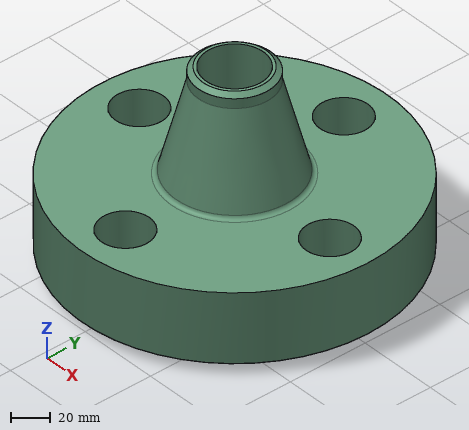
import cadquery as cq
import math


flange_diameter = 203.2
flange_thickness = 44.45

raised_face_diameter = 73.2
raised_face_height = 6.35

overall_height = 117.6
hub_base_diameter = 79.2
neck_diameter = 48.3
neck_length = 8.6
hub_fillet_radius = 3.0

bore_diameter = 38.1
land_width = 1.9
bevel_angle = 37.5

bolt_hole_diameter = 31.75
bolt_circle_diameter = 146.05
bolt_count = 4

flange_bottom = raised_face_height
flange_top = flange_bottom + flange_thickness
neck_start = overall_height - neck_length

land_radius = bore_diameter / 2 + land_width
bevel_height = (neck_diameter / 2 - land_radius) * math.tan(math.radians(bevel_angle))
bevel_start = overall_height - bevel_height


def hub_fillet_points():
    """Start, middle and end (radius, height) of the arc joining the disc to the hub cone."""
    cone_run = (hub_base_diameter - neck_diameter) / 2
    cone_tilt = math.atan2(cone_run, neck_start - flange_top)
    turn = math.pi / 2 - cone_tilt
    tangent_length = hub_fillet_radius * math.tan(turn / 2)

    center_radius = hub_base_diameter / 2 + tangent_length
    center_height = flange_top + hub_fillet_radius

    def arc_point(swept):
        return (
            center_radius - hub_fillet_radius * math.sin(swept),
            center_height - hub_fillet_radius * math.cos(swept),
        )

    return arc_point(0), arc_point(turn / 2), arc_point(turn)


def make_body():
    """Revolve the outer half profile, including the bore, around Z."""
    fillet_start, fillet_middle, fillet_end = hub_fillet_points()
    profile = (
        cq.Workplane("XZ")
        .moveTo(bore_diameter / 2, 0)
        .lineTo(raised_face_diameter / 2, 0)
        .lineTo(raised_face_diameter / 2, flange_bottom)
        .lineTo(flange_diameter / 2, flange_bottom)
        .lineTo(flange_diameter / 2, flange_top)
        .lineTo(*fillet_start)
        .threePointArc(fillet_middle, fillet_end)
        .lineTo(neck_diameter / 2, neck_start)
        .lineTo(neck_diameter / 2, bevel_start)
        .lineTo(land_radius, overall_height)
        .lineTo(bore_diameter / 2, overall_height)
        .close()
    )
    return profile.revolve(360, (0, 0, 0), (0, 1, 0))


def make_bolt_holes():
    """Cylinders through the disc, spaced evenly with the first on the +X axis."""
    return (
        cq.Workplane("XY")
        .workplane(offset=flange_bottom)
        .polarArray(bolt_circle_diameter / 2, 0, 360, bolt_count)
        .circle(bolt_hole_diameter / 2)
        .extrude(flange_thickness)
    )


result = make_body().cut(make_bolt_holes())